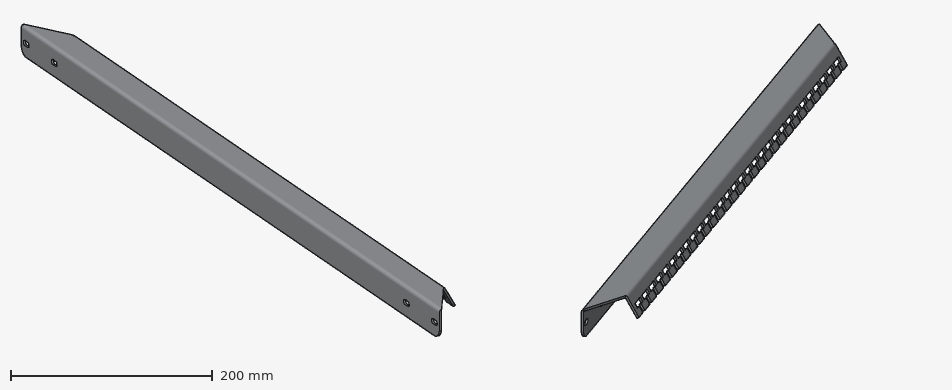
import cadquery as cq
import math

LENGTH = 861.0
DEPTH = 46.0
HEIGHT = 32.0

SHEET = 2.5
INNER_RADIUS = 1.5
OUTER_RADIUS = INNER_RADIUS + SHEET
LIP_ANGLE = 60.0
LIP_DROP = 23.0

LIP_LENGTH = 761.0
TAPER_END_LENGTH = 766.0
TAPER_START = SHEET

CORNER_RADIUS = 10.0
SLOT_LENGTH = 11.0
SLOT_WIDTH = 5.0
SLOT_DROP = 17.0
SLOT_INSETS = (10.0, 68.0)

NOTCH_COUNT = 30
NOTCH_SPAN = 725.0
NOTCH_PITCH = NOTCH_SPAN / (NOTCH_COUNT - 1)
NOTCH_MOUTH = 7.0
NOTCH_HEAD = 19.0
HEAD_DEPTH = 5.0
MOUTH_DEPTH = 8.0

lip_cos = math.cos(math.radians(LIP_ANGLE))
lip_sin = math.sin(math.radians(LIP_ANGLE))

edge_outer = (DEPTH, SHEET * lip_cos - LIP_DROP)
edge_inner = (DEPTH - SHEET * lip_sin, -LIP_DROP)

bend_z = -OUTER_RADIUS
outer_tangent_z = bend_z + OUTER_RADIUS * lip_cos
lip_flat = (outer_tangent_z - edge_outer[1]) / lip_sin
bend_y = DEPTH - lip_flat * lip_cos - OUTER_RADIUS * lip_sin


def on_lip_bend(radius, angle):
    """Point on the lip bend, with the angle in degrees turned from straight up."""
    turn = math.radians(angle)
    return (bend_y + radius * math.sin(turn), bend_z + radius * math.cos(turn))


def on_front_bend(radius, angle):
    """Point on the front bend, with the angle in degrees turned from straight up."""
    turn = math.radians(angle)
    return (OUTER_RADIUS - radius * math.sin(turn), radius * math.cos(turn) - OUTER_RADIUS)


def folded_sheet():
    """Constant folded section, with the front face at Y = 0 and the top face at Z = 0."""
    return (
        cq.Workplane("YZ")
        .moveTo(0, -HEIGHT)
        .lineTo(*on_front_bend(OUTER_RADIUS, 90))
        .threePointArc(on_front_bend(OUTER_RADIUS, 45), on_front_bend(OUTER_RADIUS, 0))
        .lineTo(*on_lip_bend(OUTER_RADIUS, 0))
        .threePointArc(on_lip_bend(OUTER_RADIUS, LIP_ANGLE / 2), on_lip_bend(OUTER_RADIUS, LIP_ANGLE))
        .lineTo(*edge_outer)
        .lineTo(*edge_inner)
        .lineTo(*on_lip_bend(INNER_RADIUS, LIP_ANGLE))
        .threePointArc(on_lip_bend(INNER_RADIUS, LIP_ANGLE / 2), on_lip_bend(INNER_RADIUS, 0))
        .lineTo(*on_front_bend(INNER_RADIUS, 0))
        .threePointArc(on_front_bend(INNER_RADIUS, 45), on_front_bend(INNER_RADIUS, 90))
        .lineTo(SHEET, -HEIGHT)
        .close()
        .extrude(LENGTH / 2, both=True)
    )


def plan_outline():
    """Block with the plan shape of the rail: full length in front, tapering to the lip."""
    half = LENGTH / 2
    lip_half = LIP_LENGTH / 2
    taper_half = TAPER_END_LENGTH / 2
    lip_start = bend_y + INNER_RADIUS * lip_sin
    corners = [
        (-half, 0),
        (half, 0),
        (half, TAPER_START),
        (taper_half, bend_y),
        (lip_half, lip_start),
        (lip_half, DEPTH),
        (-lip_half, DEPTH),
        (-lip_half, lip_start),
        (-taper_half, bend_y),
        (-half, TAPER_START),
    ]
    return cq.Workplane("XY").polyline(corners).close().extrude(-HEIGHT)


def flange_slots():
    """Rounded horizontal slots through the front flange, mirrored about the middle."""
    centres = []
    for inset in SLOT_INSETS:
        x = LENGTH / 2 - inset
        centres += [(-x, -SLOT_DROP), (x, -SLOT_DROP)]
    return (
        cq.Workplane("XZ")
        .pushPoints(centres)
        .slot2D(SLOT_LENGTH, SLOT_WIDTH)
        .extrude(-SHEET)
    )


def lip_notches():
    """T-shaped notches through the lip, open at its edge."""
    lip_face = cq.Plane(
        origin=(0, *edge_outer), xDir=(-1, 0, 0), normal=(0, lip_sin, lip_cos)
    )

    def rectangle_row(width, depth, centre):
        """One rectangular cutter per notch, centred the given distance in from the lip edge."""
        return (
            cq.Workplane(lip_face)
            .center(0, centre)
            .rarray(NOTCH_PITCH, 9, NOTCH_COUNT, 1)
            .rect(width, depth)
            .extrude(-SHEET)
        )

    mouths = rectangle_row(NOTCH_MOUTH, MOUTH_DEPTH, MOUTH_DEPTH / 2)
    heads = rectangle_row(NOTCH_HEAD, HEAD_DEPTH, MOUTH_DEPTH + HEAD_DEPTH / 2)
    return mouths.union(heads)


rail = folded_sheet().intersect(plan_outline())
rail = rail.edges("|Y and <Z").fillet(CORNER_RADIUS)
result = rail.cut(flange_slots()).cut(lip_notches())